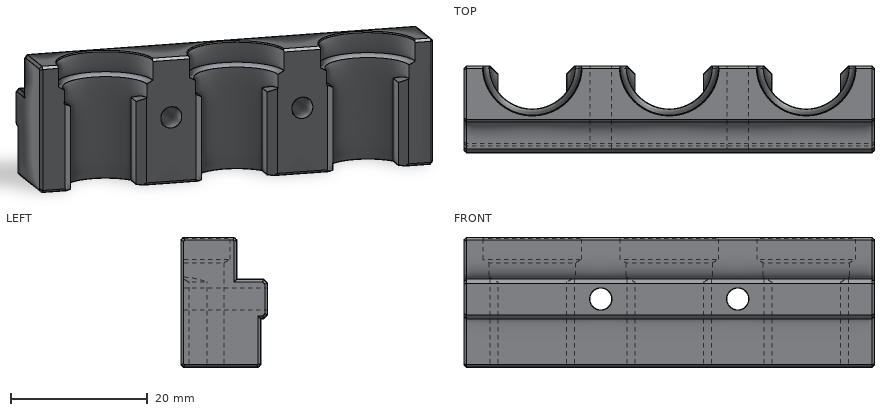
import cadquery as cq
import math

LENGTH = 60.0
HEIGHT = 19.0
LIP_DEPTH = 12.7
UPPER_DEPTH = 8.2
LOWER_DEPTH = 11.7
LIP_BOTTOM = 7.1
LIP_TOP = 12.9
EDGE_CHAMFER = 0.4
LIP_CHAMFER = 0.6

BAY_COUNT = 3
BAY_PITCH = 20.0
SEAT_RADIUS = 7.2
SEAT_RIM_WIDTH = 0.1
SEAT_RIM_HEIGHT = 0.2
SEAT_DEPTH = 3.2
BORE_RADIUS = 6.3
SLOPE_ANGLE = 30.0

LUG_GAP = 10.0
LUG_TOP = 13.2
LUG_MOUTH_CHAMFER = 1.2

HOLE_DIAMETER = 3.2
HOLE_HEIGHT = 10.0

CUT_MARGIN = 1.0

SLOPE_RISE = math.tan(math.radians(SLOPE_ANGLE))


def make_bar():
    """Stepped bar with its convex long edges and both end outlines chamfered."""
    outline = [
        (0, 0),
        (-LOWER_DEPTH, 0),
        (-LOWER_DEPTH, LIP_BOTTOM),
        (-LIP_DEPTH, LIP_BOTTOM),
        (-LIP_DEPTH, LIP_TOP),
        (-UPPER_DEPTH, LIP_TOP),
        (-UPPER_DEPTH, HEIGHT),
        (0, HEIGHT),
    ]
    bar = cq.Workplane("YZ").polyline(outline).close().extrude(LENGTH / 2, both=True)

    bar = bar.faces("<Z or >Z or >Y").edges("|X").chamfer(EDGE_CHAMFER)
    bar = bar.faces("<Y").edges("|X").chamfer(LIP_CHAMFER)
    return bar.faces("<X or >X").edges().chamfer(EDGE_CHAMFER)


def make_round_cutter():
    """Seat, sloped shoulder and through bore of one bay, turned about Z."""
    shoulder_top = HEIGHT - SEAT_DEPTH
    rim_radius = SEAT_RADIUS + SEAT_RIM_WIDTH
    half_section = [
        (0, -CUT_MARGIN),
        (BORE_RADIUS, -CUT_MARGIN),
        (BORE_RADIUS, shoulder_top - (SEAT_RADIUS - BORE_RADIUS) * SLOPE_RISE),
        (SEAT_RADIUS, shoulder_top),
        (SEAT_RADIUS, HEIGHT - SEAT_RIM_HEIGHT),
        (rim_radius, HEIGHT),
        (rim_radius, HEIGHT + CUT_MARGIN),
        (0, HEIGHT + CUT_MARGIN),
    ]
    return cq.Workplane("XZ").polyline(half_section).close().revolve(360, (0, 0), (0, 1))


def make_lug_gap():
    """Space left free by the lugs: a slot that widens upward and at its mouth."""
    half_gap = LUG_GAP / 2
    slope_bottom = LUG_TOP - (BORE_RADIUS - half_gap) * SLOPE_RISE
    half_top = half_gap + (HEIGHT + CUT_MARGIN - slope_bottom) / SLOPE_RISE
    section = [
        (-half_gap, -CUT_MARGIN),
        (half_gap, -CUT_MARGIN),
        (half_gap, slope_bottom),
        (half_top, HEIGHT + CUT_MARGIN),
        (-half_top, HEIGHT + CUT_MARGIN),
        (-half_gap, slope_bottom),
    ]
    slot = cq.Workplane("XZ").polyline(section).close().extrude(LIP_DEPTH, both=True)

    mouth_half = half_gap + LUG_MOUTH_CHAMFER
    mouth_plan = [
        (-half_gap, -LUG_MOUTH_CHAMFER),
        (half_gap, -LUG_MOUTH_CHAMFER),
        (mouth_half, 0),
        (-mouth_half, 0),
    ]
    mouth = cq.Workplane("XY").polyline(mouth_plan).close().extrude(HEIGHT)
    return slot.union(mouth)


def make_bay_cutter():
    """Round bay with its lower part narrowed by the lugs."""
    return make_round_cutter().intersect(make_lug_gap())


def make_hole_cutter(x):
    """Cutter for a mounting hole through the full depth."""
    hole = cq.Workplane("XZ").center(x, HOLE_HEIGHT).circle(HOLE_DIAMETER / 2)
    return hole.extrude(LIP_DEPTH + CUT_MARGIN, both=True)


result = make_bar()

bay_cutter = make_bay_cutter()
for bay in range(BAY_COUNT):
    bay_x = (bay - (BAY_COUNT - 1) / 2) * BAY_PITCH
    result = result.cut(bay_cutter.translate((bay_x, 0, 0)))

for gap in range(BAY_COUNT - 1):
    hole_x = (gap - (BAY_COUNT - 2) / 2) * BAY_PITCH
    result = result.cut(make_hole_cutter(hole_x))